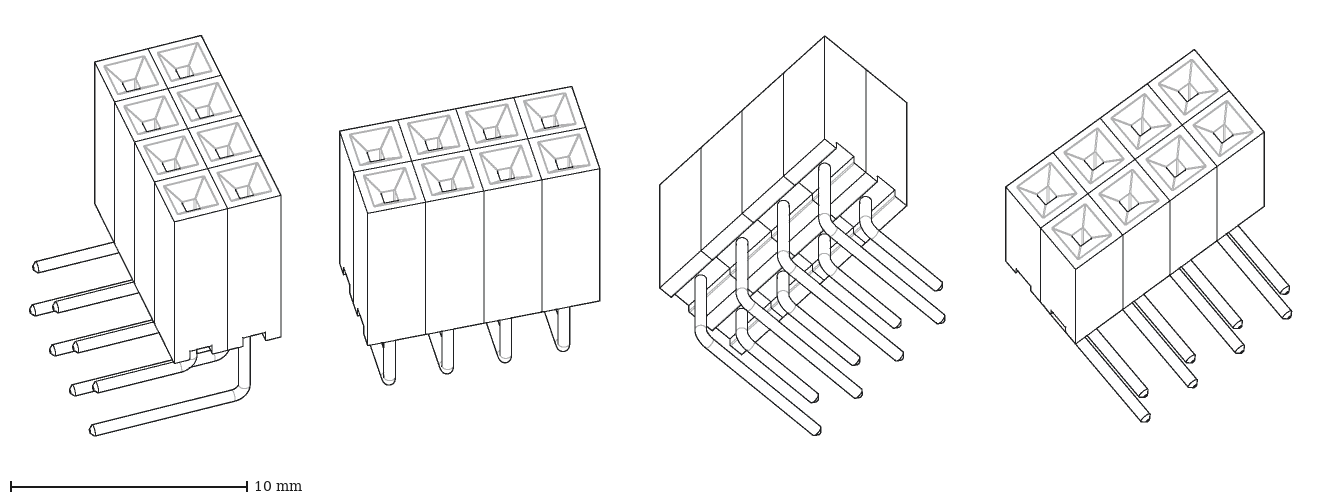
import cadquery as cq


overall_height = 12.89
overall_depth = 8.13
columns = 4
cell_width = 2.54
cell_depth = 2.4
cell_height = 8.5
edge_radius = 0.05

mouth_side = 1.8
shaft_side = 0.6
shaft_depth = 2.58

slot_width = 1.0
slot_height = 0.5

pin_diameter = 0.5
bend_radius = 0.5
tip_chamfer = 0.15
row_drop = 2.54
front_pin_setback = 0.14

pin_radius = pin_diameter / 2
funnel_depth = (mouth_side - shaft_side) / 2
back_row_y = cell_depth / 2
front_row_y = -cell_depth / 2
back_tip_y = cell_depth - overall_depth
front_tip_y = back_tip_y + front_pin_setback
back_pin_z = cell_height - overall_height + pin_radius
front_pin_z = back_pin_z + row_drop


def make_well():
    """Space inside a socket: a square funnel over a square shaft, with its standing and rim edges rounded."""
    funnel = (
        cq.Workplane("XY", origin=(0, 0, cell_height))
        .rect(mouth_side, mouth_side)
        .workplane(offset=-funnel_depth)
        .rect(shaft_side, shaft_side)
        .loft()
    )
    shaft = (
        cq.Workplane("XY", origin=(0, 0, cell_height - funnel_depth))
        .rect(shaft_side, shaft_side)
        .extrude(-shaft_depth)
    )
    return funnel.union(shaft).edges("not(>Z or <Z)").fillet(edge_radius)


def make_cell():
    """Socket block centred on the Z axis, with a round-lipped well on top and slot along X below."""
    block = cq.Workplane("XY").box(cell_width, cell_depth, cell_height, centered=(True, True, False))
    slot = cq.Workplane("XY").box(cell_width, slot_width, slot_height, centered=(True, True, False))
    block = block.cut(slot).cut(make_well())
    lips_depth = mouth_side + 2 * edge_radius
    lips = cq.selectors.BoxSelector(
        (-lips_depth / 2, -lips_depth / 2, -edge_radius),
        (lips_depth / 2, lips_depth / 2, cell_height + edge_radius),
    )
    top_lip = block.faces(">Z").edges(lips)
    block = top_lip.fillet(edge_radius)
    slot_lip = block.faces("<Z").edges("|X").edges(lips)
    return slot_lip.fillet(edge_radius)


def make_pin(tip_y, pin_z):
    """Round pin that drops from the slot roof at Y = 0, bends, and runs toward -Y to a chamfered tip."""
    path = (
        cq.Workplane("YZ")
        .moveTo(0, slot_height)
        .lineTo(0, pin_z + bend_radius)
        .radiusArc((-bend_radius, pin_z), bend_radius)
        .lineTo(tip_y, pin_z)
    )
    pin = cq.Workplane("XY", origin=(0, 0, slot_height)).circle(pin_radius).sweep(path)
    return pin.faces("<Y").chamfer(tip_chamfer)


def make_contact(row_y, tip_y, pin_z):
    """One socket cell joined to its pin, moved to its row."""
    pin = make_pin(tip_y - row_y, pin_z)
    return make_cell().union(pin).translate((0, row_y, 0))


def make_row(contact):
    """Copies of one contact, side by side along X and centred on X = 0."""
    first_x = -(columns - 1) * cell_width / 2
    return [contact.translate((first_x + column * cell_width, 0, 0)).val() for column in range(columns)]


front_contacts = make_row(make_contact(front_row_y, front_tip_y, front_pin_z))
back_contacts = make_row(make_contact(back_row_y, back_tip_y, back_pin_z))

result = cq.Compound.makeCompound([*front_contacts, *back_contacts])